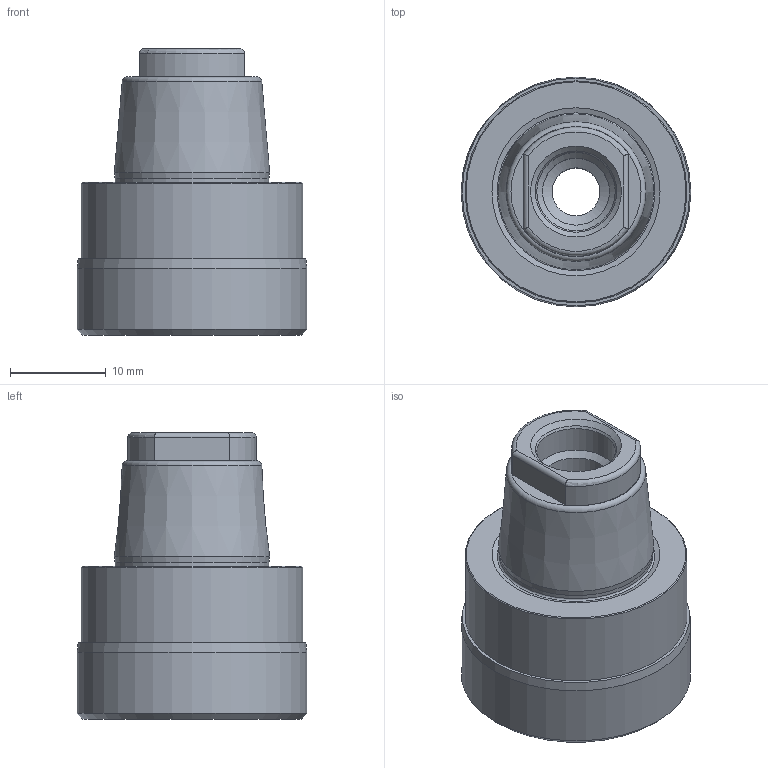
import cadquery as cq
import math

base_radius = 12.01
base_chamfer = 0.6
collar_cone_bottom_z = 7.0
collar_top_z = 8.0
collar_top_radius = 11.9
drum_radius = 11.6
drum_top_z = 16.0
drum_edge_chamfer = 0.1

undercut_outer_radius = 8.79
undercut_floor_radius = 8.25
undercut_depth = 0.2
undercut_fillet = 0.2
undercut_top_z = 16.4

neck_radius = undercut_floor_radius - undercut_fillet
taper_bottom_radius = 8.12
taper_bottom_z = 17.0
shoulder_radius = 7.3
shoulder_fillet = 0.5
shoulder_z = 27.0

head_radius = 6.75
head_top_z = 29.95
across_flats = 11.0
head_fillet = 0.5

mouth_radius = 4.75
mouth_chamfer_radius = 4.25
mouth_chamfer_depth = 0.5
mouth_depth = 0.75
bore_radius = 4.1
bore_depth = 3.5
middle_bore_radius = 3.5
middle_bore_end_depth = 14.0
through_radius = 2.5
drill_tip_angle = 118.0


def quarter_arc_inset(radius):
    """Distance along each axis from a square corner to the middle of its rounding arc."""
    return radius * (1 - math.sqrt(0.5))


def make_body():
    """Revolve the base, undercut and tapered neck up to the shoulder."""
    undercut_floor_z = drum_top_z - undercut_depth
    arc_offset = quarter_arc_inset(undercut_fillet)
    shoulder_arc_offset = quarter_arc_inset(shoulder_fillet)
    profile = (
        cq.Workplane("XZ")
        .moveTo(0, 0)
        .lineTo(base_radius - base_chamfer, 0)
        .lineTo(base_radius, base_chamfer)
        .lineTo(base_radius, collar_cone_bottom_z)
        .lineTo(collar_top_radius, collar_top_z)
        .lineTo(drum_radius, collar_top_z)
        .lineTo(drum_radius, drum_top_z - drum_edge_chamfer)
        .lineTo(drum_radius - drum_edge_chamfer, drum_top_z)
        .lineTo(undercut_outer_radius, drum_top_z)
        .lineTo(undercut_floor_radius, undercut_floor_z)
        .threePointArc(
            (neck_radius + arc_offset, undercut_floor_z + arc_offset),
            (neck_radius, undercut_floor_z + undercut_fillet),
        )
        .lineTo(neck_radius, undercut_top_z)
        .lineTo(taper_bottom_radius, taper_bottom_z)
        .lineTo(shoulder_radius, shoulder_z - shoulder_fillet)
        .threePointArc(
            (shoulder_radius - shoulder_arc_offset, shoulder_z - shoulder_arc_offset),
            (shoulder_radius - shoulder_fillet, shoulder_z),
        )
        .lineTo(0, shoulder_z)
        .close()
    )
    return profile.revolve(360, (0, 0, 0), (0, 1, 0))


def make_head():
    """Round head cut by two flats facing -X and +X, with a rounded top edge."""
    head_height = head_top_z - shoulder_z
    head = cq.Workplane("XY").workplane(offset=shoulder_z).circle(head_radius).extrude(head_height)
    flats = (
        cq.Workplane("XY")
        .workplane(offset=shoulder_z)
        .rect(across_flats, 2 * head_radius)
        .extrude(head_height)
    )
    return head.intersect(flats).faces(">Z").edges().fillet(head_fillet)


def make_bore():
    """Stepped through bore with conical transitions and a two-stage conical mouth."""
    bore_end_z = head_top_z - bore_depth
    middle_end_z = head_top_z - middle_bore_end_depth
    step_drop = (middle_bore_radius - through_radius) / math.tan(math.radians(drill_tip_angle / 2))
    profile = (
        cq.Workplane("XZ")
        .moveTo(0, 0)
        .lineTo(through_radius, 0)
        .lineTo(through_radius, middle_end_z - step_drop)
        .lineTo(middle_bore_radius, middle_end_z)
        .lineTo(middle_bore_radius, bore_end_z - (bore_radius - middle_bore_radius))
        .lineTo(bore_radius, bore_end_z)
        .lineTo(bore_radius, head_top_z - mouth_depth)
        .lineTo(mouth_chamfer_radius, head_top_z - mouth_chamfer_depth)
        .lineTo(mouth_radius, head_top_z)
        .lineTo(0, head_top_z)
        .close()
    )
    return profile.revolve(360, (0, 0, 0), (0, 1, 0))


result = make_body().union(make_head()).cut(make_bore())